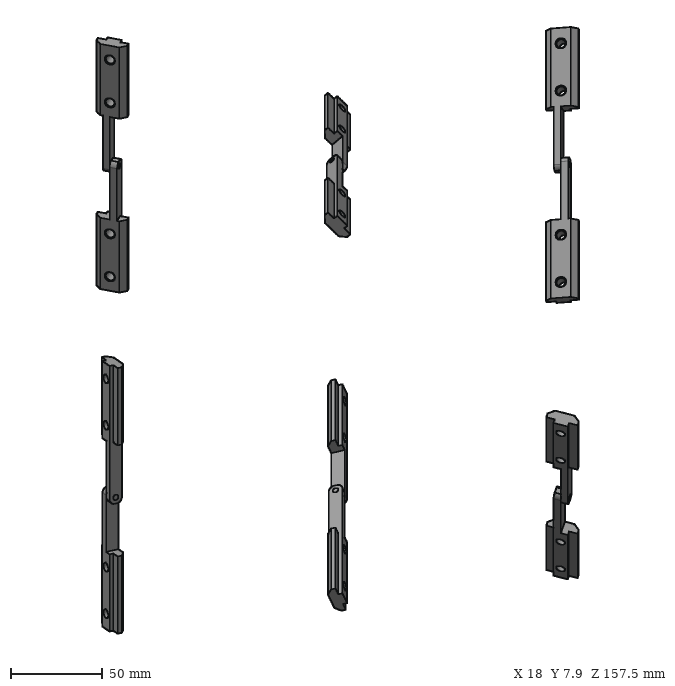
import cadquery as cq
import math

total_length = 157.5
thickness = 7.9
block_width = 18.0

block_length = 45.8
head_width = 8.2
head_height = 2.4
bevel_width = 3.5
bevel_depth = 3.0

hole_diameter = 5.0
hole_spacing = 27.5
hole_chamfer = 0.5

contact_x = -0.2
arm_tip_reach = 3.6
arm_shoulder_reach = 0.8
pin_diameter = 3.2

half_length = total_length / 2
half_thickness = thickness / 2
half_block = block_width / 2
half_head = head_width / 2
block_start = half_length - block_length
block_middle = half_length - block_length / 2


def make_block():
    """T-profile block with bevelled front edges, along +Z."""
    shelf_y = half_thickness - head_height
    return (
        cq.Workplane("XY", origin=(0, 0, block_start))
        .moveTo(-half_head, half_thickness)
        .lineTo(half_head, half_thickness)
        .lineTo(half_head, shelf_y)
        .lineTo(half_block, shelf_y)
        .lineTo(half_block, -half_thickness + bevel_depth)
        .lineTo(half_block - bevel_width, -half_thickness)
        .lineTo(-half_block + bevel_width, -half_thickness)
        .lineTo(-half_block, -half_thickness + bevel_depth)
        .lineTo(-half_block, shelf_y)
        .lineTo(-half_head, shelf_y)
        .close()
        .extrude(block_length)
    )


def make_arm(inner_x):
    """Arm from X = -half_head to inner_x; its tip is rounded about the hinge axis and cut flat."""
    tip_radius = math.hypot(half_thickness, arm_shoulder_reach)
    half_flat = math.sqrt(tip_radius**2 - arm_tip_reach**2)
    arc_angle = (math.asin(half_flat / tip_radius) + math.acos(arm_shoulder_reach / tip_radius)) / 2
    arc_y = tip_radius * math.sin(arc_angle)
    arc_z = -tip_radius * math.cos(arc_angle)
    return (
        cq.Workplane("YZ", origin=(-half_head, 0, 0))
        .moveTo(-half_thickness, block_start)
        .lineTo(-half_thickness, -arm_shoulder_reach)
        .threePointArc((-arc_y, arc_z), (-half_flat, -arm_tip_reach))
        .lineTo(half_flat, -arm_tip_reach)
        .threePointArc((arc_y, arc_z), (half_thickness, -arm_shoulder_reach))
        .lineTo(half_thickness, block_start)
        .close()
        .extrude(inner_x + half_head)
    )


def make_screw_holes():
    """Cutters for the two screw holes, countersunk at the front face."""
    front = cq.Workplane("XZ", origin=(0, -half_thickness, block_middle))
    places = [(0, -hole_spacing / 2), (0, hole_spacing / 2)]
    hole_radius = hole_diameter / 2
    bores = front.pushPoints(places).circle(hole_radius).extrude(-thickness)
    countersinks = (
        front.pushPoints(places)
        .circle(hole_radius + hole_chamfer)
        .extrude(-hole_chamfer, taper=45)
    )
    return bores.union(countersinks)


def make_pin():
    """Hinge pin, flush with the outer faces of both arms."""
    return (
        cq.Workplane("YZ", origin=(-half_head, 0, 0))
        .circle(pin_diameter / 2)
        .extrude(head_width)
    )


def make_link(inner_x):
    """Link pointing up: block and arm with screw holes and a hinge hole."""
    return make_block().union(make_arm(inner_x)).cut(make_screw_holes()).cut(make_pin())


upper_link = make_link(contact_x)

lower_link = make_link(-contact_x).rotate((0, 0, 0), (0, 1, 0), 180)

hinge_pin = make_pin()

result = cq.Compound.makeCompound([upper_link.val(), lower_link.val(), hinge_pin.val()])